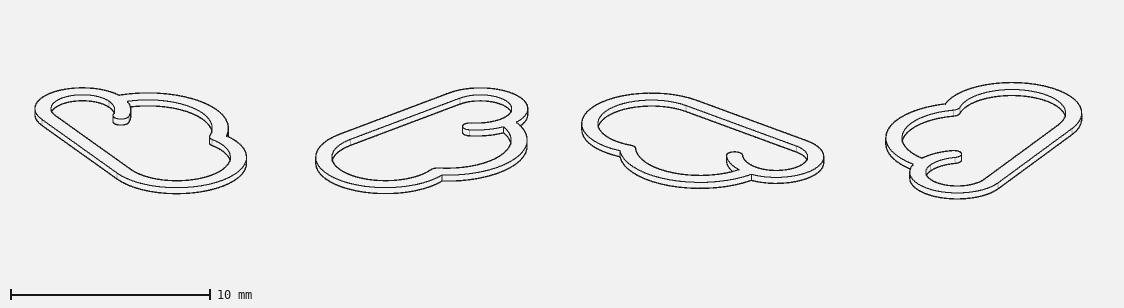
import cadquery as cq
import math

length = 13.14
height = 8.07
thickness = 0.34
band_width = 0.81
half_band = band_width / 2

left_radius = 1.98
curl_radius = 2.29
curl_tip_angle = 42
crown_radius = 3.64
crown_x = 6.02
right_radius = 3.1

left_center = (left_radius + half_band, left_radius + half_band)
curl_center = (left_center[0], left_center[1] + left_radius - curl_radius)
crown_center = (crown_x, height - half_band - crown_radius)
right_center = (length - half_band - right_radius, right_radius + half_band)


def point_on(center, radius, angle):
    """Point at an angle in degrees, counter-clockwise from +X."""
    a = math.radians(angle)
    return (center[0] + radius * math.cos(a), center[1] + radius * math.sin(a))


def angle_to(center, point):
    """Angle in degrees of the direction from center to point."""
    return math.degrees(math.atan2(point[1] - center[1], point[0] - center[0]))


def upper_crossing(center_a, radius_a, center_b, radius_b):
    """Crossing of two circles on the left of the way from center_a to center_b."""
    gap = math.dist(center_a, center_b)
    along = (gap**2 + radius_a**2 - radius_b**2) / (2 * gap)
    aside = math.sqrt(radius_a**2 - along**2)
    ux = (center_b[0] - center_a[0]) / gap
    uy = (center_b[1] - center_a[1]) / gap
    return (center_a[0] + along * ux - aside * uy, center_a[1] + along * uy + aside * ux)


def arc_band(center, radius, start, end):
    """Band along an arc, with square ends."""
    middle = (start + end) / 2
    outer = radius + half_band
    inner = radius - half_band
    return (
        cq.Workplane("XY")
        .moveTo(*point_on(center, outer, start))
        .threePointArc(point_on(center, outer, middle), point_on(center, outer, end))
        .lineTo(*point_on(center, inner, end))
        .threePointArc(point_on(center, inner, middle), point_on(center, inner, start))
        .close()
        .extrude(thickness)
    )


def round_end(point):
    """Disc as wide as the band, rounding an end or a corner."""
    return cq.Workplane("XY").center(*point).circle(half_band).extrude(thickness)


crown_right = upper_crossing(crown_center, crown_radius, right_center, right_radius)
crown_left = upper_crossing(left_center, left_radius, crown_center, crown_radius)

base_length = right_center[0] - left_center[0]
base = (
    cq.Workplane("XY")
    .moveTo(left_center[0], 0)
    .rect(base_length, band_width, centered=False)
    .extrude(thickness)
)

left_side = arc_band(left_center, left_radius, 90, 270)
curl = arc_band(curl_center, curl_radius, curl_tip_angle, 90)
curl_tip = round_end(point_on(curl_center, curl_radius, curl_tip_angle))
crown = arc_band(
    crown_center,
    crown_radius,
    angle_to(crown_center, crown_right),
    angle_to(crown_center, crown_left),
)
crown_corner = round_end(crown_right)
right_side = arc_band(right_center, right_radius, -90, angle_to(right_center, crown_right))

result = base
for piece in (left_side, curl, curl_tip, right_side, crown_corner, crown):
    result = result.union(piece)
result = result.clean()